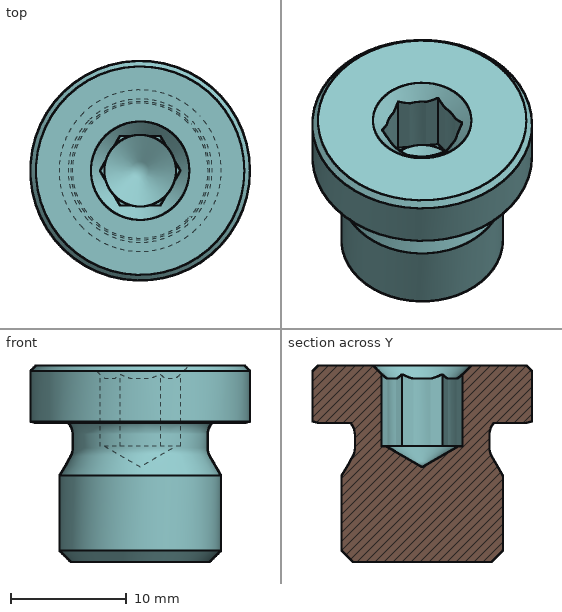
import cadquery as cq
import math

total_height = 17.0
head_radius = 19 / 2
head_height = 5.0
head_top_chamfer = 0.5
head_rim_relief_width = 0.5
head_rim_relief_height = 0.13

shank_radius = 14.0 / 2
shank_end_chamfer = 1.0

neck_radius = 11.7 / 2
neck_straight_length = 1.3
upper_fillet_height = 0.93
upper_fillet_width = 0.36
lower_fillet_radius = 1.22
neck_cone_angle = math.radians(30)

hex_across_flats = 6.02
socket_depth = 7.0
bore_diameter = 6.2
drill_tip_angle = math.radians(120)
countersink_diameter = 8.51

head_bottom = total_height - head_height
neck_top = head_bottom - upper_fillet_height
neck_bottom = neck_top - neck_straight_length


def make_body():
    """Revolve the outer half profile around the Z axis."""
    upper_radius = (upper_fillet_height**2 + upper_fillet_width**2) / (2 * upper_fillet_width)
    upper_half_angle = math.asin(upper_fillet_height / upper_radius) / 2
    upper_mid = (
        neck_radius + upper_radius * (1 - math.cos(upper_half_angle)),
        neck_top + upper_radius * math.sin(upper_half_angle),
    )

    def lower_fillet_point(angle):
        return (
            neck_radius + lower_fillet_radius * (1 - math.cos(angle)),
            neck_bottom - lower_fillet_radius * math.sin(angle),
        )

    cone_start = lower_fillet_point(neck_cone_angle)
    shank_top = cone_start[1] - (shank_radius - cone_start[0]) / math.tan(neck_cone_angle)

    profile = (
        cq.Workplane("XZ")
        .lineTo(shank_radius - shank_end_chamfer, 0)
        .lineTo(shank_radius, shank_end_chamfer)
        .lineTo(shank_radius, shank_top)
        .lineTo(*cone_start)
        .threePointArc(lower_fillet_point(neck_cone_angle / 2), (neck_radius, neck_bottom))
        .lineTo(neck_radius, neck_top)
        .threePointArc(upper_mid, (neck_radius + upper_fillet_width, head_bottom))
        .lineTo(head_radius - head_rim_relief_width, head_bottom)
        .lineTo(head_radius, head_bottom + head_rim_relief_height)
        .lineTo(head_radius, total_height - head_top_chamfer)
        .lineTo(head_radius - head_top_chamfer, total_height)
        .lineTo(0, total_height)
        .close()
    )
    return profile.revolve(360, (0, 0), (0, 1))


def make_hex_socket():
    """Hexagonal prism with two corners on the X axis."""
    across_corners = hex_across_flats / math.cos(math.pi / 6)
    return (
        cq.Workplane("XY", origin=(0, 0, total_height))
        .polygon(6, across_corners)
        .extrude(-socket_depth)
    )


def make_bore():
    """Drilled bore with a conical tip and a 45 degree countersink."""
    bore_radius = bore_diameter / 2
    countersink_radius = countersink_diameter / 2
    socket_floor = total_height - socket_depth
    tip_level = socket_floor - bore_radius / math.tan(drill_tip_angle / 2)
    bore = (
        cq.Workplane("XZ")
        .moveTo(0, tip_level)
        .lineTo(bore_radius, socket_floor)
        .lineTo(bore_radius, total_height)
        .lineTo(0, total_height)
        .close()
        .revolve(360, (0, 0), (0, 1))
    )
    countersink = (
        cq.Workplane("XZ")
        .moveTo(0, total_height - countersink_radius)
        .lineTo(countersink_radius, total_height)
        .lineTo(0, total_height)
        .close()
        .revolve(360, (0, 0), (0, 1))
    )
    return bore.union(countersink)


result = make_body().cut(make_hex_socket()).cut(make_bore())